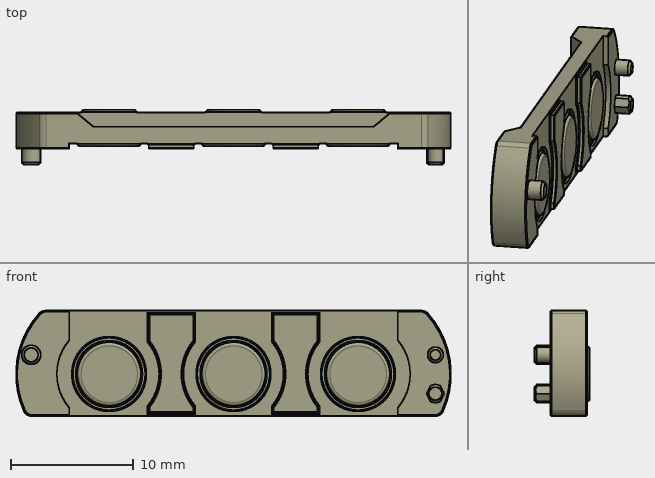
import cadquery as cq
import math

LENGTH = 35.55
THICKNESS = 3.0
TOP = 5.2
BOTTOM = -3.45
END_RADIUS = 7.4
CORNER_RADIUS = 0.75
EDGE_CHAMFER = 0.1

DISC_PITCH = 10.15
DISC_XS = (-DISC_PITCH, 0, DISC_PITCH)

RECESS_DEPTH = 0.43
RECESS_Y = RECESS_DEPTH - THICKNESS
RECESS_HALF_LENGTH = 13.45
RECESS_ARC_RADIUS = 4.25

PAD_HALF_WIDTH = 1.95
PAD_EDGE_GAP = 0.18
PAD_ARC_RADIUS = 4.1
PAD_FLARE = 0.1
PAD_FLARE_ANGLE = 45
PAD_CHAMFER = 0.07

GROOVE_OUTER_RADIUS = 3.05
GROOVE_FLOOR_OUTER_RADIUS = 2.95
GROOVE_FLOOR_INNER_RADIUS = 2.75
GROOVE_DEPTH = 0.18
DISC_SHOULDER_RADIUS = 2.6
DISC_FACE_RADIUS = 2.3
DISC_FRONT_RISE = 0.2

BACK_DISC_RADIUS = 2.27
BACK_DISC_RISE = 0.2
BACK_DISC_CHAMFER = 0.18

NOTCH_DEPTH = 1.17
NOTCH_FLOOR_HALF_LENGTH = 11.45
NOTCH_END_RUN = 1.42
NOTCH_FLOOR_Z = -BOTTOM

PIN_LENGTH = 1.3
ROUND_PIN_Z = 1.55
LEFT_PIN_X = -16.53
LEFT_PIN_RADIUS = 0.78
RIGHT_PIN_X = 16.5
RIGHT_PIN_RADIUS = 0.65
DIAMOND_PIN_Z = -1.6
DIAMOND_PIN_RADIUS = 0.75
DIAMOND_PIN_HALF_WIDTH = 0.7
DIAMOND_LAND_HALF_WIDTH = 0.4
PIN_CHAMFER = 0.2


def front_plane(y):
    """Sketch plane at the given Y: local x is X, local y is Z, extrusion goes toward -Y."""
    return cq.Workplane("XZ", origin=(0, y, 0))


def block(x_min, x_max, z_min, z_max, y, depth):
    """Rectangular block growing from Y = y toward -Y."""
    return (
        front_plane(y)
        .moveTo((x_min + x_max) / 2, (z_min + z_max) / 2)
        .rect(x_max - x_min, z_max - z_min)
        .extrude(depth)
    )


def cylinder(x, z, radius, y, depth):
    """Cylinder along Y growing from Y = y toward -Y."""
    return front_plane(y).moveTo(x, z).circle(radius).extrude(depth)


def plate():
    """Flat bar whose ends are arcs centred level with the discs."""
    end_centre_x = LENGTH / 2 - END_RADIUS
    top_x = end_centre_x + math.sqrt(END_RADIUS**2 - TOP**2)
    bottom_x = end_centre_x + math.sqrt(END_RADIUS**2 - BOTTOM**2)
    return (
        front_plane(0)
        .moveTo(-top_x, TOP)
        .lineTo(top_x, TOP)
        .threePointArc((LENGTH / 2, 0), (bottom_x, BOTTOM))
        .lineTo(-bottom_x, BOTTOM)
        .threePointArc((-LENGTH / 2, 0), (-top_x, TOP))
        .close()
        .extrude(THICKNESS)
        .edges("|Y")
        .fillet(CORNER_RADIUS)
        .faces("<Y or >Y")
        .chamfer(EDGE_CHAMFER)
    )


def recess():
    """Band removed from the front, bulging round the outer discs at its ends."""
    bulges = front_plane(RECESS_Y).pushPoints([(-DISC_PITCH, 0), (DISC_PITCH, 0)])
    bulges = bulges.circle(RECESS_ARC_RADIUS).extrude(RECESS_DEPTH)
    band = block(-RECESS_HALF_LENGTH, RECESS_HALF_LENGTH, BOTTOM, TOP, RECESS_Y, RECESS_DEPTH)
    return band.union(bulges)


def hourglass_pad(x):
    """Raised pad hollowed round both neighbouring discs, flared at its foot and chamfered on top."""
    foot = block(
        x - PAD_HALF_WIDTH,
        x + PAD_HALF_WIDTH,
        BOTTOM + PAD_EDGE_GAP,
        TOP - PAD_EDGE_GAP,
        RECESS_Y,
        PAD_FLARE,
    )
    for side in (-1, 1):
        disc_x = x + side * DISC_PITCH / 2
        foot = foot.cut(cylinder(disc_x, 0, PAD_ARC_RADIUS, RECESS_Y, PAD_FLARE))
    flare = (
        foot.faces(">Y")
        .wires()
        .toPending()
        .workplane(invert=True)
        .extrude(PAD_FLARE, taper=PAD_FLARE_ANGLE, combine=False)
    )
    upper = (
        flare.faces("<Y")
        .wires()
        .toPending()
        .workplane()
        .extrude(RECESS_DEPTH - PAD_FLARE, combine=False)
        .faces("<Y")
        .chamfer(PAD_CHAMFER)
    )
    return flare.union(upper)


def ring_groove(x):
    """Tapered ring groove around a front disc."""
    floor_y = RECESS_Y + GROOVE_DEPTH
    return (
        cq.Workplane("XY", origin=(x, 0, 0))
        .moveTo(DISC_SHOULDER_RADIUS, RECESS_Y)
        .lineTo(GROOVE_OUTER_RADIUS, RECESS_Y)
        .lineTo(GROOVE_FLOOR_OUTER_RADIUS, floor_y)
        .lineTo(GROOVE_FLOOR_INNER_RADIUS, floor_y)
        .close()
        .revolve(360, (0, 0), (0, 1))
    )


def front_disc(x):
    """Disc face standing proud of the recess, its rim rounded over."""
    rim_width = DISC_SHOULDER_RADIUS - DISC_FACE_RADIUS
    rim_bulge = math.sqrt(0.5)
    rim_middle = (DISC_FACE_RADIUS + rim_bulge * rim_width, RECESS_Y - rim_bulge * DISC_FRONT_RISE)
    front_y = RECESS_Y - DISC_FRONT_RISE
    return (
        cq.Workplane("XY", origin=(x, 0, 0))
        .moveTo(0, RECESS_Y)
        .lineTo(DISC_SHOULDER_RADIUS, RECESS_Y)
        .threePointArc(rim_middle, (DISC_FACE_RADIUS, front_y))
        .lineTo(0, front_y)
        .close()
        .revolve(360, (0, 0), (0, 1))
    )


def back_disc(x):
    """Chamfered disc standing proud of the back face."""
    disc = cylinder(x, 0, BACK_DISC_RADIUS, BACK_DISC_RISE, BACK_DISC_RISE)
    return disc.faces(">Y").chamfer(BACK_DISC_CHAMFER)


def back_notch():
    """Trapezoid in plan, cut down from the top edge of the back face."""
    mouth_half_length = NOTCH_FLOOR_HALF_LENGTH + NOTCH_END_RUN
    return (
        cq.Workplane("XY", origin=(0, 0, NOTCH_FLOOR_Z))
        .polyline(
            [
                (-mouth_half_length, 0),
                (-NOTCH_FLOOR_HALF_LENGTH, -NOTCH_DEPTH),
                (NOTCH_FLOOR_HALF_LENGTH, -NOTCH_DEPTH),
                (mouth_half_length, 0),
            ]
        )
        .close()
        .extrude(TOP - NOTCH_FLOOR_Z)
    )


def round_pin(x, z, radius):
    """Round pin with a chamfered tip."""
    pin = cylinder(x, z, radius, -THICKNESS, PIN_LENGTH)
    return pin.faces("<Y").chamfer(PIN_CHAMFER)


def diamond_pin(x, z):
    """Round pin relieved by flats to leave lands above and below and a corner on each side."""
    land_z = math.sqrt(DIAMOND_PIN_RADIUS**2 - DIAMOND_LAND_HALF_WIDTH**2)
    diamond = (
        front_plane(-THICKNESS)
        .center(x, z)
        .moveTo(-DIAMOND_PIN_HALF_WIDTH, 0)
        .lineTo(-DIAMOND_LAND_HALF_WIDTH, land_z)
        .threePointArc((0, DIAMOND_PIN_RADIUS), (DIAMOND_LAND_HALF_WIDTH, land_z))
        .lineTo(DIAMOND_PIN_HALF_WIDTH, 0)
        .lineTo(DIAMOND_LAND_HALF_WIDTH, -land_z)
        .threePointArc((0, -DIAMOND_PIN_RADIUS), (-DIAMOND_LAND_HALF_WIDTH, -land_z))
        .close()
        .extrude(PIN_LENGTH)
    )
    return diamond.intersect(round_pin(x, z, DIAMOND_PIN_RADIUS))


result = plate().cut(recess()).cut(back_notch())

for pad_x in (-DISC_PITCH / 2, DISC_PITCH / 2):
    result = result.union(hourglass_pad(pad_x))

for disc_x in DISC_XS:
    result = result.cut(ring_groove(disc_x)).union(front_disc(disc_x)).union(back_disc(disc_x))

result = (
    result.union(round_pin(LEFT_PIN_X, ROUND_PIN_Z, LEFT_PIN_RADIUS))
    .union(round_pin(RIGHT_PIN_X, ROUND_PIN_Z, RIGHT_PIN_RADIUS))
    .union(diamond_pin(RIGHT_PIN_X, DIAMOND_PIN_Z))
)